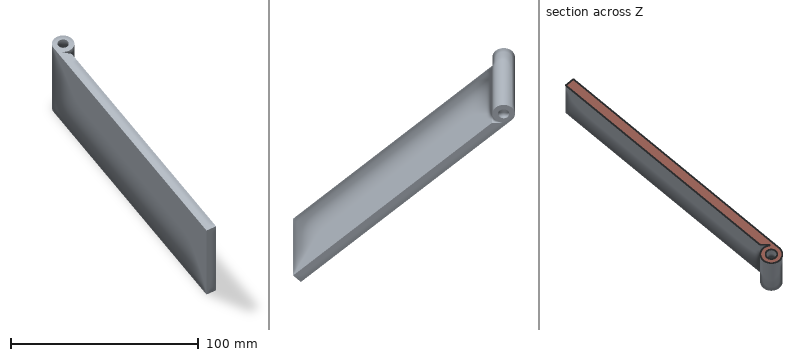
import cadquery as cq
import math

total_length = 162.0
height = 50.0
barrel_radius = 6.0
pin_hole_radius = barrel_radius / 2
plate_thickness = barrel_radius
relief_top_x = 8.7
relief_depth = 3.5
relief_angle = math.radians(45)

plate_end_x = total_length - barrel_radius
plate_front_y = -barrel_radius
plate_back_y = plate_front_y + plate_thickness

relief_floor_y = plate_back_y - relief_depth
relief_floor_x = relief_top_x - relief_depth / math.tan(relief_angle)
barrel_end_x = math.sqrt(barrel_radius**2 - relief_floor_y**2)
arc_mid_offset = barrel_radius * math.sin(math.radians(45))


def hinge_leaf():
    """Flat plate whose end curls round into a hinge barrel."""
    return (
        cq.Workplane("XY")
        .moveTo(0, plate_front_y)
        .lineTo(plate_end_x, plate_front_y)
        .lineTo(plate_end_x, plate_back_y)
        .lineTo(relief_top_x, plate_back_y)
        .lineTo(relief_floor_x, relief_floor_y)
        .lineTo(barrel_end_x, relief_floor_y)
        .threePointArc((0, barrel_radius), (-barrel_radius, 0))
        .threePointArc((-arc_mid_offset, -arc_mid_offset), (0, plate_front_y))
        .close()
        .extrude(height)
    )


def pin_hole():
    """Cylinder that clears the hinge pin through the full height."""
    return cq.Workplane("XY").circle(pin_hole_radius).extrude(height)


result = hinge_leaf().cut(pin_hole())